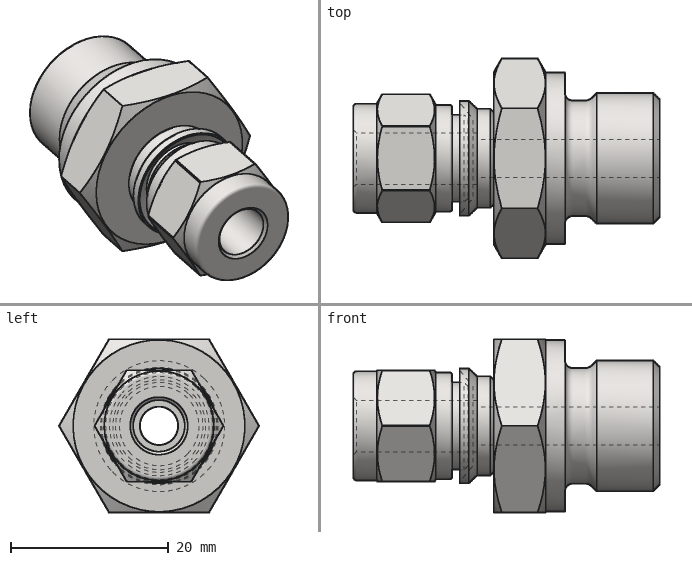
import cadquery as cq
import math

total_length = 38.95

nut_collar_dia = 13.9
nut_face_fillet = 0.45
nut_hex_start = 3.0
nut_hex_end = 10.5
nut_across_flats = 14.17
nut_corner_dia = 16.28
nut_tail_dia = 13.6
nut_tail_end = 12.58
nut_tail_fillet = 0.35

groove_dia = 11.1
groove_end = 14.05
recess_core_dia = 10.1
ring_dia = 14.6
ring_start = 13.5
ring_end = 14.68
ring_recess_dia = 14.15
ring_recess_depth = 1.67
neck_dia = 12.6
neck_start = 15.75
neck_chamfer = 0.43

body_hex_start = 17.85
body_hex_end = 24.45
body_across_flats = 22.0
flange_dia = 21.8
flange_end = 26.9
flange_edge_fillet = 0.1

undercut_dia = 14.7
undercut_fillet = 0.95
undercut_end = 29.48
runout_radius = 1.15
runout_angle = math.radians(45)
thread_dia = 16.63
thread_chamfer = 0.85

bore_dia = 4.83
socket_dia = 6.55
socket_depth = 15.75
socket_chamfer = 0.4

hex_chamfer_angle = math.radians(30)


def cylinder(diameter, start, end):
    """Solid cylinder along X."""
    return cq.Workplane("YZ", origin=(start, 0, 0)).circle(diameter / 2).extrude(end - start)


def chamfered_hexagon(across_flats, start, end, start_dia, end_dia, corner_dia):
    """Hexagon along X, corners on the Y axis, limited by end cones and a corner cylinder."""
    corner_radius = corner_dia / 2
    start_cone = (corner_radius - start_dia / 2) * math.tan(hex_chamfer_angle)
    end_cone = (corner_radius - end_dia / 2) * math.tan(hex_chamfer_angle)
    prism = (
        cq.Workplane("YZ", origin=(start, 0, 0))
        .polygon(6, across_flats / math.cos(math.pi / 6))
        .extrude(end - start)
    )
    envelope = (
        cq.Workplane("XY")
        .moveTo(start, 0)
        .lineTo(start, start_dia / 2)
        .lineTo(start + start_cone, corner_radius)
        .lineTo(end - end_cone, corner_radius)
        .lineTo(end, end_dia / 2)
        .lineTo(end, 0)
        .close()
        .revolve(360, (0, 0, 0), (1, 0, 0))
    )
    return prism.intersect(envelope)


def compression_nut():
    collar = cylinder(nut_collar_dia, 0, nut_hex_start).faces("<X").edges().fillet(nut_face_fillet)
    hexagon = chamfered_hexagon(
        nut_across_flats, nut_hex_start, nut_hex_end, nut_collar_dia, nut_tail_dia, nut_corner_dia
    )
    tail = cylinder(nut_tail_dia, nut_hex_end, nut_tail_end).faces(">X").edges().fillet(nut_tail_fillet)
    return collar.union(hexagon).union(tail)


def grooved_neck():
    """Neck whose ring has a conical recess facing the nut."""
    return (
        cq.Workplane("XY")
        .moveTo(nut_tail_end, 0)
        .lineTo(nut_tail_end, groove_dia / 2)
        .lineTo(groove_end, groove_dia / 2)
        .lineTo(groove_end + (groove_dia - recess_core_dia) / 2, recess_core_dia / 2)
        .lineTo(ring_start + ring_recess_depth, recess_core_dia / 2)
        .lineTo(ring_start, ring_recess_dia / 2)
        .lineTo(ring_start, ring_dia / 2)
        .lineTo(ring_end, ring_dia / 2)
        .lineTo(neck_start, neck_dia / 2)
        .lineTo(body_hex_start - neck_chamfer, neck_dia / 2)
        .lineTo(body_hex_start, neck_dia / 2 - neck_chamfer)
        .lineTo(body_hex_start, 0)
        .close()
        .revolve(360, (0, 0, 0), (1, 0, 0))
    )


def body_hexagon_and_flange():
    full_corner_dia = body_across_flats / math.cos(math.pi / 6)
    hexagon = chamfered_hexagon(
        body_across_flats, body_hex_start, body_hex_end, flange_dia, flange_dia, full_corner_dia
    )
    flange = cylinder(flange_dia, body_hex_end, flange_end).faces(">X").edges().fillet(flange_edge_fillet)
    return hexagon.union(flange)


def threaded_end():
    undercut_radius = undercut_dia / 2
    thread_radius = thread_dia / 2
    fillet_mid = undercut_fillet * (1 - math.sqrt(0.5))

    def runout_point(angle):
        x = undercut_end + runout_radius * math.sin(angle)
        return x, undercut_radius + runout_radius * (1 - math.cos(angle))

    cone_x, cone_radius = runout_point(runout_angle)
    thread_start = cone_x + (thread_radius - cone_radius) / math.tan(runout_angle)
    return (
        cq.Workplane("XY")
        .moveTo(flange_end, 0)
        .lineTo(flange_end, undercut_radius + undercut_fillet)
        .threePointArc(
            (flange_end + fillet_mid, undercut_radius + fillet_mid),
            (flange_end + undercut_fillet, undercut_radius),
        )
        .lineTo(undercut_end, undercut_radius)
        .threePointArc(runout_point(runout_angle / 2), (cone_x, cone_radius))
        .lineTo(thread_start, thread_radius)
        .lineTo(total_length - thread_chamfer, thread_radius)
        .lineTo(total_length, thread_radius - thread_chamfer)
        .lineTo(total_length, 0)
        .close()
        .revolve(360, (0, 0, 0), (1, 0, 0))
    )


def stepped_bore():
    """Through bore with a chamfered tube socket at the nut end."""
    return (
        cq.Workplane("XY")
        .lineTo(0, socket_dia / 2 + socket_chamfer)
        .lineTo(socket_chamfer, socket_dia / 2)
        .lineTo(socket_depth, socket_dia / 2)
        .lineTo(socket_depth, bore_dia / 2)
        .lineTo(total_length, bore_dia / 2)
        .lineTo(total_length, 0)
        .close()
        .revolve(360, (0, 0, 0), (1, 0, 0))
    )


result = (
    compression_nut()
    .union(grooved_neck())
    .union(body_hexagon_and_flange())
    .union(threaded_end())
    .cut(stepped_bore())
)